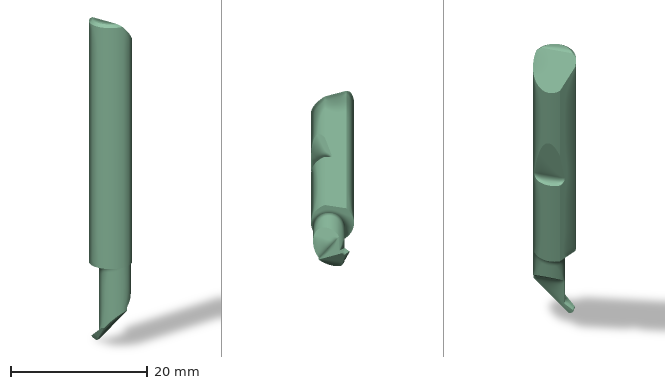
import cadquery as cq
import math

total_length = 50.65
shank_diameter = 6.35
shank_radius = shank_diameter / 2
shank_bottom = 12.6
end_chamfer_radial = 0.45
end_chamfer_height = 0.4

bevel_start_y = -1.3
flat_distance = 2.75
flat_angle = 150.0
notch_bottom = 27.7
notch_top = 36.1
notch_depth = 1.4
notch_corner_radius = 0.7

neck_diameter = 4.65
neck_radius = neck_diameter / 2
neck_x = shank_radius - neck_radius
neck_left_x = neck_x - neck_radius
relief_top = 8.6

slant_high_z = 5.7
slant_slope = math.tan(math.radians(47.0))

tip_top_start = (-0.75, 2.3)
tip_top_end = (-3.05, 0.55)
tip_bottom_x = -2.3
tip_corner_radius = 0.3
clearance_bottom_y = -0.5
clearance_slope = 1.7

margin = 5.05


def slant_z(x):
    """Height of the slanted underside at a given X."""
    return slant_high_z + (x - shank_radius) * slant_slope


def cut_along_x(points):
    """Prism across the whole part from a Y-Z outline."""
    return cq.Workplane("YZ").polyline(points).close().extrude(shank_diameter, both=True)


def make_shank():
    chamfer_radius = shank_radius - end_chamfer_radial
    profile = (
        cq.Workplane("XZ")
        .moveTo(0, shank_bottom)
        .lineTo(shank_radius, shank_bottom)
        .lineTo(shank_radius, total_length - end_chamfer_height)
        .lineTo(chamfer_radius, total_length)
        .lineTo(0, total_length)
        .close()
    )
    return profile.revolve(360, (0, 0, 0), (0, 1, 0))


def make_end_bevel():
    reach_y = shank_radius + margin
    return cut_along_x([
        (bevel_start_y, total_length),
        (reach_y, total_length - (reach_y - bevel_start_y)),
        (reach_y, total_length),
    ])


def make_side_flat():
    return (
        cq.Workplane("XY")
        .box(margin, 2 * shank_diameter, total_length, centered=(False, True, False))
        .translate((flat_distance, 0, shank_bottom))
        .rotate((0, 0, 0), (0, 0, 1), flat_angle)
    )


def make_back_notch():
    """Wedge with a level lower wall, a sloping floor and a rounded inner corner."""
    floor_y = shank_radius - notch_depth
    reach_y = shank_radius + margin
    floor_slope = (notch_top - notch_bottom) / notch_depth
    wedge = cut_along_x([
        (floor_y, notch_bottom),
        (reach_y, notch_bottom),
        (reach_y, notch_bottom + (reach_y - floor_y) * floor_slope),
    ])
    inner_corner = cq.selectors.NearestToPointSelector((0, floor_y, notch_bottom))
    return wedge.edges(inner_corner).fillet(notch_corner_radius)


def make_neck():
    """Round neck with a slanted end, cut back to its -Y half near the tip."""
    neck = cq.Workplane("XY").center(neck_x, 0).circle(neck_radius).extrude(shank_bottom)
    left_x = neck_left_x - margin
    right_x = shank_radius + margin
    underside = (
        cq.Workplane("XZ")
        .polyline([
            (left_x, slant_z(left_x)),
            (right_x, slant_z(right_x)),
            (right_x, slant_z(left_x)),
        ])
        .close()
        .extrude(shank_diameter, both=True)
    )
    half_cutback = cut_along_x([
        (0, -margin),
        (0, relief_top - neck_radius),
        (neck_radius + margin, relief_top + margin),
        (neck_radius + margin, -margin),
    ])
    return neck.cut(underside).cut(half_cutback)


def make_tip():
    """Bar carrying on along the slanted underside, with a rounded cutting end."""
    root_x = tip_top_start[0]
    bar = (
        cq.Workplane("XZ")
        .polyline([
            tip_top_start,
            tip_top_end,
            (tip_bottom_x, slant_z(tip_bottom_x)),
            (root_x, slant_z(root_x)),
        ])
        .close()
        .extrude(neck_radius)
    )
    end_edges = cq.selectors.BoxSelector(
        (tip_top_end[0] - margin, -shank_radius, -margin),
        (tip_bottom_x + tip_corner_radius, shank_radius, tip_top_start[1]),
    )
    return bar.edges("|Y").edges(end_edges).fillet(tip_corner_radius)


def make_side_clearance():
    """Ground face that narrows the tip toward its end."""
    reach_z = margin * clearance_slope
    return cut_along_x([
        (clearance_bottom_y + margin, -reach_z),
        (clearance_bottom_y - margin, reach_z),
        (clearance_bottom_y - margin, -reach_z),
    ])


shank = make_shank().cut(make_end_bevel()).cut(make_side_flat()).cut(make_back_notch())
cutting_end = make_neck().union(make_tip()).cut(make_side_clearance())
result = shank.union(cutting_end)